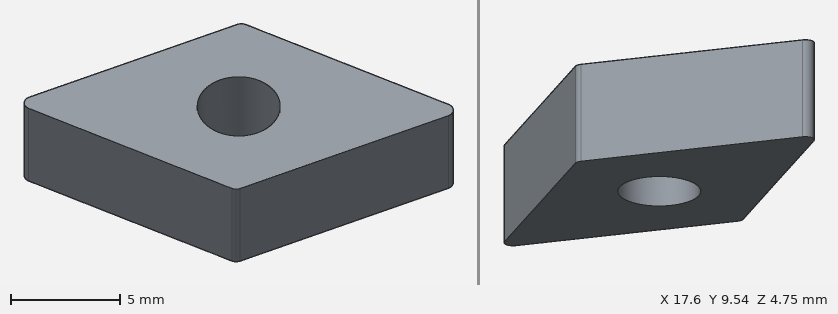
import cadquery as cq
import math

length = 17.56
width = 9.54
thickness = 4.75
hole_diameter = 3.81
acute_angle = math.radians(55)

side = width / math.sin(acute_angle)
slant_run = side * math.cos(acute_angle)
sharp_length = side + slant_run

shortening_per_radius = 2 * (1 / math.tan(acute_angle / 2) - 1)
corner_radius = (sharp_length - length) / shortening_per_radius

half_length = sharp_length / 2
half_width = width / 2
inner_x = half_length - side

rhombus = [
    (-half_length, -half_width),
    (-inner_x, -half_width),
    (half_length, half_width),
    (inner_x, half_width),
]

body = cq.Workplane("XY").polyline(rhombus).close().extrude(thickness)
body = body.edges("|Z").fillet(corner_radius)

result = body.faces(">Z").workplane(origin=(0, 0, thickness)).hole(hole_diameter)